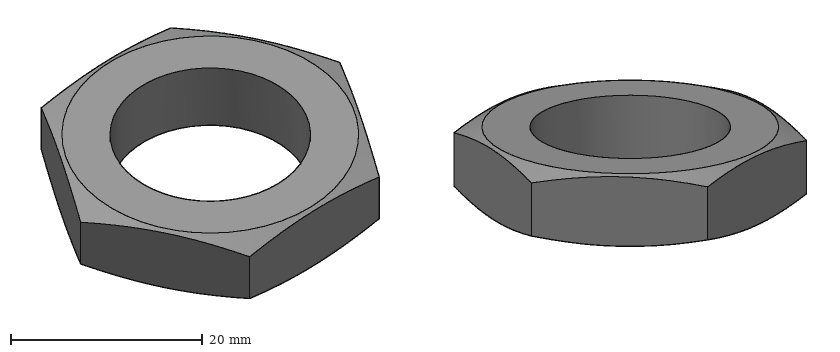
import cadquery as cq
import math

across_corners = 36.95
thickness = 8.0
bore_diameter = 20.95
face_diameter = 31.0
chamfer_angle = 20.0

corner_radius = across_corners / 2
face_radius = face_diameter / 2
half_thickness = thickness / 2
bottom_center = (0, 0, -half_thickness)
corner_drop = (corner_radius - face_radius) * math.tan(math.radians(chamfer_angle))


def hexagon_blank():
    """Hexagonal prism centred on the origin, with two corners on the Y axis."""
    prism = cq.Workplane("XY", origin=bottom_center).polygon(6, across_corners).extrude(thickness)
    return prism.rotate((0, 0, 0), (0, 0, 1), 90)


def chamfer_envelope():
    """Turned body whose conical ends trim the hexagon corners."""
    return (
        cq.Workplane("XZ")
        .moveTo(0, -half_thickness)
        .lineTo(face_radius, -half_thickness)
        .lineTo(corner_radius, -half_thickness + corner_drop)
        .lineTo(corner_radius, half_thickness - corner_drop)
        .lineTo(face_radius, half_thickness)
        .lineTo(0, half_thickness)
        .close()
        .revolve(360, (0, 0, 0), (0, 1, 0))
    )


def bore():
    """Plain through hole on the Z axis."""
    return cq.Workplane("XY", origin=bottom_center).circle(bore_diameter / 2).extrude(thickness)


result = hexagon_blank().intersect(chamfer_envelope()).cut(bore())